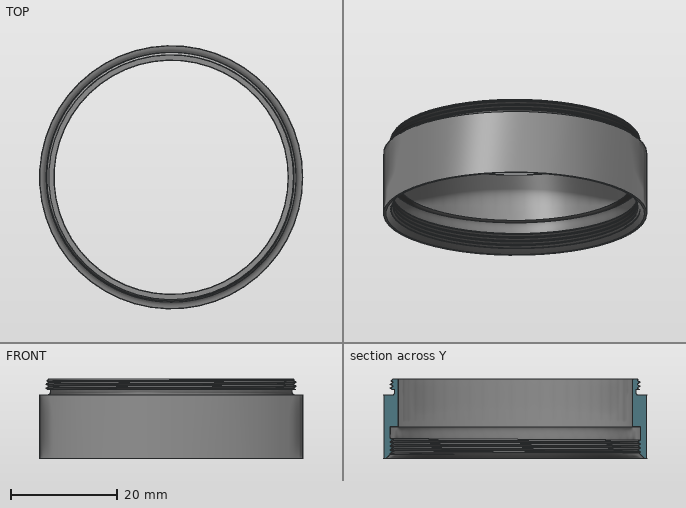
import cadquery as cq
import math

BODY_DIAMETER = 49.5
BODY_HEIGHT = 12.0
TOTAL_HEIGHT = 15.0
BORE_DIAMETER = 44.0

MAJOR_DIAMETER = 47.0
MINOR_DIAMETER = 46.06
PITCH = 0.75
FLANK_ANGLE = 30.0
CREST_WIDTH = PITCH / 8
BASE_OVERLAP = 0.05

NECK_DIAMETER = 45.5
NECK_FILLET = 0.5
MALE_THREAD_BOTTOM = 13.0
MALE_THREAD_PHASE = -0.125
RIM_DIAMETER = 46.0

COUNTERBORE_DEPTH = 6.0
FEMALE_THREAD_END = 3.9
MOUTH_CHAMFER = 1.3

MARGIN = 0.5


def cylinder(diameter, bottom, top):
    """Vertical cylinder on the part axis."""
    return cq.Workplane("XY").workplane(offset=bottom).circle(diameter / 2).extrude(top - bottom)


def revolved(points):
    """Solid of revolution from (radius, height) corners."""
    return cq.Workplane("XZ").polyline(points).close().revolve(360, (0, 0), (0, 1))


def thread_ridge(base_radius, crest_radius, start, turns):
    """Right-hand trapezoidal ridge whose centre starts at height `start` on the +X side."""
    half_crest = CREST_WIDTH / 2
    half_base = half_crest + abs(crest_radius - base_radius) * math.tan(math.radians(FLANK_ANGLE))
    section = [
        (base_radius, -half_base),
        (crest_radius, -half_crest),
        (crest_radius, half_crest),
        (base_radius, half_base),
    ]
    helices = [
        cq.Wire.makeHelix(PITCH, PITCH * turns, radius).translate(cq.Vector(0, 0, start + height))
        for radius, height in section
    ]
    sides = [cq.Face.makeRuledSurface(helices[i - 1], helices[i]) for i in range(len(helices))]
    ends = []
    for position in (0, 1):
        corners = [helix.positionAt(position) for helix in helices]
        ends.append(cq.Face.makeFromWires(cq.Wire.makePolygon(corners, close=True)))
    return cq.Workplane(cq.Solid.makeSolid(cq.Shell.makeShell(sides + ends)))


def make_body():
    """Main cylinder with the neck and the fillet at its foot."""
    neck_radius = NECK_DIAMETER / 2
    return (
        cq.Workplane("XZ")
        .lineTo(BODY_DIAMETER / 2, 0)
        .lineTo(BODY_DIAMETER / 2, BODY_HEIGHT)
        .lineTo(neck_radius + NECK_FILLET, BODY_HEIGHT)
        .radiusArc((neck_radius, BODY_HEIGHT + NECK_FILLET), NECK_FILLET)
        .lineTo(neck_radius, TOTAL_HEIGHT)
        .lineTo(0, TOTAL_HEIGHT)
        .close()
        .revolve(360, (0, 0), (0, 1))
    )


def make_male_thread():
    """Threaded core, trimmed flat below and chamfered at 45 degrees at the rim."""
    turns = math.ceil((TOTAL_HEIGHT - MALE_THREAD_BOTTOM) / PITCH) + 3
    ridge_start = MALE_THREAD_BOTTOM + MALE_THREAD_PHASE - 2 * PITCH
    core = cylinder(MINOR_DIAMETER, ridge_start - PITCH, ridge_start + PITCH * (turns + 1))
    ridge = thread_ridge(MINOR_DIAMETER / 2 - BASE_OVERLAP, MAJOR_DIAMETER / 2, ridge_start, turns)
    rim_radius = RIM_DIAMETER / 2
    limit_radius = MAJOR_DIAMETER / 2 + MARGIN
    limit = revolved(
        [
            (0, MALE_THREAD_BOTTOM),
            (limit_radius, MALE_THREAD_BOTTOM),
            (limit_radius, TOTAL_HEIGHT - (limit_radius - rim_radius)),
            (rim_radius, TOTAL_HEIGHT),
            (0, TOTAL_HEIGHT),
        ]
    )
    return core.union(ridge).intersect(limit)


def make_female_thread():
    """Inward ridge that ends bluntly at its top and is trimmed flat at the ring's lower face."""
    turns = math.ceil(FEMALE_THREAD_END / PITCH) + 1
    base_radius = MAJOR_DIAMETER / 2 + BASE_OVERLAP
    ridge_start = FEMALE_THREAD_END - turns * PITCH
    ridge = thread_ridge(base_radius, MINOR_DIAMETER / 2, ridge_start, turns)
    return ridge.intersect(cylinder(BODY_DIAMETER, 0, BODY_HEIGHT))


def make_mouth_cutter():
    """45 degree cone that chamfers the mouth of the female thread."""
    mouth_radius = MINOR_DIAMETER / 2 + MOUTH_CHAMFER
    return revolved(
        [
            (0, -MARGIN),
            (mouth_radius + MARGIN, -MARGIN),
            (0, mouth_radius),
        ]
    )


ring = make_body().union(make_male_thread())
ring = ring.cut(cylinder(BORE_DIAMETER, 0, TOTAL_HEIGHT))
ring = ring.cut(cylinder(MAJOR_DIAMETER, 0, COUNTERBORE_DEPTH))
ring = ring.union(make_female_thread())
result = ring.cut(make_mouth_cutter())